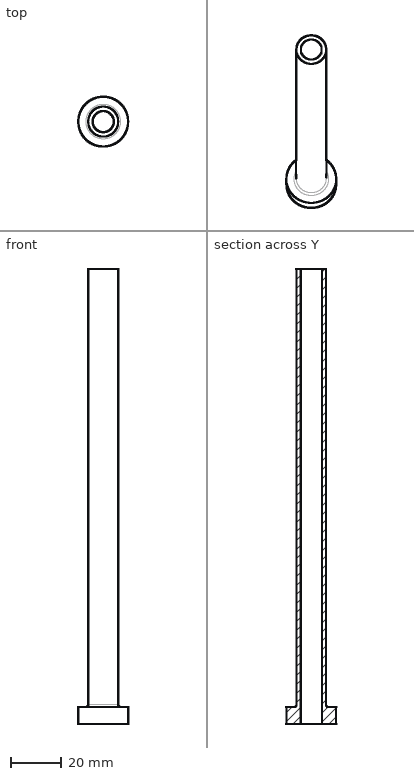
import cadquery as cq

total_length = 182.0
shaft_radius = 6.0
bore_radius = 4.2

head_radius = 10.0
head_height = 7.0
neck_fillet = 1.0

head = cq.Workplane("XY").circle(head_radius).extrude(head_height)
shaft = cq.Workplane("XY").circle(shaft_radius).extrude(total_length)
body = head.union(shaft)

neck_edge = cq.selectors.RadiusNthSelector(0)
body = body.faces("<Z[1]").edges(neck_edge).fillet(neck_fillet)

bore = cq.Workplane("XY").circle(bore_radius).extrude(total_length)
result = body.cut(bore)